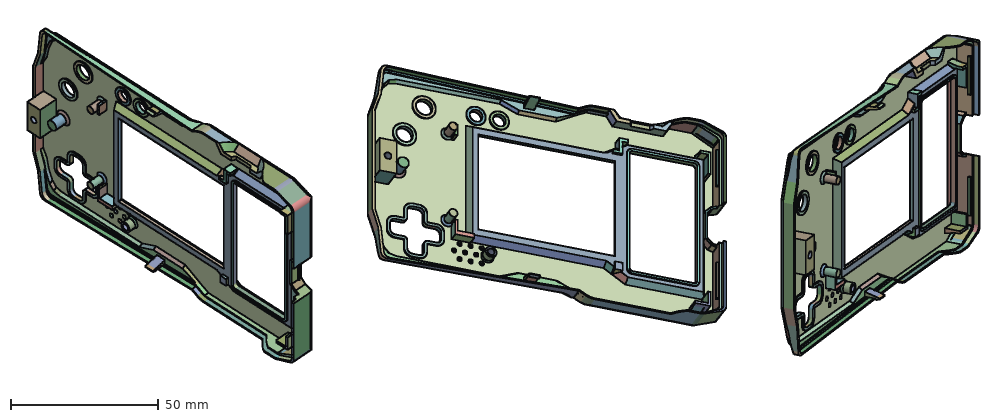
import cadquery as cq

HALF_LENGTH = 127.5 / 2
HALF_HEIGHT = 76.0 / 2
END_DEPTH = 9.1
SIDE_DEPTH = 5.05
FLOOR = 1.2
ROOT = FLOOR / 2
LIP_HEIGHT = 2.0
RAMP_START_X = 45.1
RAMP_END_X = 49.6
RAMP_MID = (47.1, 7.3)

LEFT_FLAT_HALF = 19.2
LEFT_KINK = (-61.5, 26.3)
LEFT_CORNER = (-60.3, 37.95)
LEFT_CORNER_RADIUS = 2.3
WAIST_X = 11.6
WAIST_HALF = 35.9
SHOULDER_X = 15.65
RIGHT_BEVEL_X = 55.05
RIGHT_FLAT_HALF = 34.7
SHOULDER_RADIUS = 7.0
BEVEL_RADIUS = 5.0
RIGHT_CORNER_RADIUS = 2.4

LEFT_WALL = 1.1
RIGHT_LIP = 0.9
RIGHT_WALL = 1.85
SIDE_LIP = 0.5
SIDE_WALL = 0.95
PAD_STEP = 1.35
PAD_DEPTH = 2.5

EDGE_BEVEL_DEPTH = 0.95
EDGE_BEVEL_WIDTH = 0.35
SLOPE_HALF = 34.9
SLOPE_RATE = 1.16
SLOPE_END_X = 6.6
SLOPE_CORNER_X = -59.5
SLOPE_CORNER_CUT = 2.6
SLOPE_END_RATE = 0.1
SLOPE_CORNER_RATE = 0.75

FLOOR_HALF = 33.8
FLOOR_CORNER = [(-60.9, 22.6), (-60.0, 27.0), (-58.3, 31.2), (-56.4, 33.2)]
FLOOR_CORNER_END_X = -53.7
FLOOR_DRAFT = 0.9
PAD_START_X = -15.8
PAD_FLAT_X = (-9.2, 4.6)
PAD_HALF = 31.1

FRAME_DEPTH = 3.8
FRAME_SLOPE = 1.5
FRAME_LEFT_X = -28.1
FRAME_SMALL_HALF = 22.65
FRAME_STEP_X = (22.1, 30.0)
FRAME_BIG_HALF = 27.45
FRAME_RIGHT_X = 58.8
SCREEN_WALL = 1.3
SCREEN = (-24.5, 25.4, 18.65)
WINDOW = (30.4, 54.9, 23.55)
WINDOW_RADIUS = 1.0
WINDOW_LIP = 0.9
WINDOW_LIP_HEIGHT = 0.6

NOTCH_MOUTH_HALF = 7.8
NOTCH_BEND = (60.4, 6.7)
NOTCH_FLOOR = (58.5, 4.9)
NOTCH_WALL = 0.8
NOTCH_WALL_DEPTH = 4.75

SCOOP_FLOOR_Z = 35.2
SCOOP_WALL_Z = 33.6
SCOOP_WALL = ((22.8, 45.9), (25.3, 43.7))
ARCH_BULGE = 0.33
SCOOP_OUTER = ((29.3, 39.9, 0.35), (24.4, 45.1))
SCOOP_INNER = ((29.0, 40.3, 2.5), (26.6, 42.2))
SENSOR_GAP = ((31.2, 38.0, 3.6), (30.2, 38.9))

BUTTONS = [(-43.4, 26.5), (-50.5, 14.4)]
BUTTON_HOLE = 6.0
BUTTON_RING = 8.5
SMALL_BUTTONS = [(-24.5, 27.1), (-16.0, 27.1)]
SMALL_BUTTON_HOLE = 4.6
SMALL_BUTTON_RING = 7.0
RING_HEIGHT = 0.5
PAD_CENTER = (-46.5, -22.65)
CROSS_REACH = 9.3
CROSS_HALF_WIDTH = 3.05
CROSS_TIP_RADIUS = 1.8
CROSS_INNER_RADIUS = 1.5
CROSS_RING = 1.15
SPEAKER_HOLE = 1.6
SPEAKER_PITCH = (4.05, 3.0)
SPEAKER_CENTER = (-26.3, -27.15)

PIN_DEPTH = 6.85
PINS = [(-34.8, 18.0, 3.0, 4.6), (-34.8, -16.0, 3.0, 4.6), (-53.0, 0.0, 4.0, 5.96)]
PIN_FOOT = 0.8
BOSS_CENTER = (-20.25, -27.1)
BOSS_DIAMETER = 4.0
BOSS_FOOT_DIAMETER = 4.6
BOSS_HOLE = 2.5
BOSS_DEPTH = 4.75
BLOCK_X = (-62.5, -56.4)
BLOCK_HALF = 6.35
BLOCK_HOLE_X = -59.5
BLOCK_HOLE = 2.5
BLOCK_HOLE_DEPTH = 6.0

BRACKET_DEPTH = 7.0
LOW_BRACKET_DEPTH = 4.9
BRACKETS = [
    (55.2, 58.8, 26.4, 27.4, BRACKET_DEPTH),
    (57.9, 58.8, 18.9, 27.4, BRACKET_DEPTH),
    (53.3, 58.8, -32.9, -31.9, BRACKET_DEPTH),
    (57.9, 58.8, -32.0, -27.4, BRACKET_DEPTH),
    (26.4, 27.6, 21.4, 27.4, LOW_BRACKET_DEPTH),
    (24.2, 26.5, 21.4, 22.5, LOW_BRACKET_DEPTH),
    (27.5, 29.6, 26.2, 27.4, LOW_BRACKET_DEPTH),
    (24.9, 27.6, -24.4, -21.4, LOW_BRACKET_DEPTH),
    (-33.5, -32.5, 16.0, 20.1, LOW_BRACKET_DEPTH),
    (-33.3, -32.4, -23.0, -17.2, LOW_BRACKET_DEPTH),
    (-32.5, -26.4, -23.0, -21.4, LOW_BRACKET_DEPTH),
]

WEDGES = [(55.2, 58.8, 27.4, 28.3), (53.3, 57.2, -32.9, -33.8)]
WEDGE_TOP_DEPTH = 5.0

CLIP_X = (-7.5, -3.7)
CLIP_Z = (32.9, 34.3, 35.0)
CLIP_DEPTH = 8.3
CLIP_BARB = 0.4
CLIP_BARB_START = 6.3
CLIP_BARB_PEAK = 7.1
RIB_X = 61.1
RIB_Z = (15.1, 29.1)
RIB_DEPTHS = (5.9, 6.8)

BIG = 100.0
CORNER_SPREAD = 0.5
MARGIN = 0.1


def at_depth(depth):
    """Workplane parallel to the face; extruding from it goes deeper."""
    return cq.Workplane("XZ", origin=(0, -depth, 0))


def box(x_min, x_max, z_min, z_max, start, end):
    return (
        at_depth(start)
        .center((x_min + x_max) / 2, (z_min + z_max) / 2)
        .rect(x_max - x_min, z_max - z_min)
        .extrude(end - start)
    )


def mirrored(half):
    """Closed point list from the upper half, listed from -X to +X."""
    return half + [(x, -z) for x, z in reversed(half)]


def ruled(points_a, depth_a, points_b, depth_b):
    return (
        at_depth(depth_a).polyline(points_a).close()
        .workplane(offset=depth_b - depth_a).polyline(points_b).close()
        .loft(ruled=True)
    )


def outline(left=0.0, right=0.0, side=0.0):
    """Sharp-cornered shell outline moved inwards by separate insets at the ends and sides."""
    return mirrored([
        (-HALF_LENGTH + left, LEFT_FLAT_HALF),
        (LEFT_KINK[0] + left, LEFT_KINK[1]),
        (LEFT_CORNER[0] + left, LEFT_CORNER[1] - side),
        (WAIST_X, WAIST_HALF - side),
        (SHOULDER_X, HALF_HEIGHT - side),
        (RIGHT_BEVEL_X, HALF_HEIGHT - side),
        (HALF_LENGTH - right, RIGHT_FLAT_HALF - side),
    ])


def round_edges(solid, x, spread, radius):
    """Round the edges along Y whose X lies within `spread` of `x`."""
    near = cq.selectors.BoxSelector((x - spread, -BIG, -BIG), (x + spread, BIG, BIG))
    return solid.edges("|Y").edges(near).fillet(radius)


def outline_prism(left, right, side, start):
    """Outline with rounded corners, running from depth `start` to the end depth."""
    prism = at_depth(start).polyline(outline(left, right, side)).close().extrude(END_DEPTH - start)
    prism = round_edges(prism, LEFT_CORNER[0] + left, CORNER_SPREAD, LEFT_CORNER_RADIUS)
    prism = round_edges(prism, SHOULDER_X, CORNER_SPREAD, SHOULDER_RADIUS)
    prism = round_edges(prism, RIGHT_BEVEL_X, CORNER_SPREAD, BEVEL_RADIUS)
    return round_edges(prism, HALF_LENGTH - right, CORNER_SPREAD, RIGHT_CORNER_RADIUS)


def beyond_rim(shift):
    """Everything deeper than the rim profile moved `shift` towards the face."""
    side = shift - SIDE_DEPTH
    return (
        cq.Workplane("XY", origin=(0, 0, -BIG / 2))
        .moveTo(-BIG, side)
        .lineTo(RAMP_START_X, side)
        .threePointArc((RAMP_MID[0], shift - RAMP_MID[1]), (RAMP_END_X, shift - END_DEPTH))
        .lineTo(BIG, shift - END_DEPTH)
        .lineTo(BIG, -BIG)
        .lineTo(-BIG, -BIG)
        .close()
        .extrude(BIG)
    )


def slope_outline(depth, bevel=0.0):
    """Section of the sloping outer sides, which only bite on the -X half."""
    grow = SLOPE_RATE * (depth - EDGE_BEVEL_DEPTH)
    half = SLOPE_HALF + grow - bevel
    corner_x = SLOPE_CORNER_X - SLOPE_CORNER_RATE * grow + bevel
    return mirrored([
        (-HALF_LENGTH - SLOPE_END_RATE * grow + bevel, LEFT_FLAT_HALF),
        (corner_x, half - SLOPE_CORNER_CUT),
        (corner_x + SLOPE_CORNER_CUT / 2, half),
        (SLOPE_END_X, half),
        (SHOULDER_X, HALF_HEIGHT + grow - bevel),
        (RIGHT_BEVEL_X, HALF_HEIGHT + grow - bevel),
        (HALF_LENGTH + grow - bevel, RIGHT_FLAT_HALF + grow - bevel),
    ])


def outer_body():
    prism = outline_prism(0, 0, 0, 0).cut(beyond_rim(0))
    bevel_end = slope_outline(EDGE_BEVEL_DEPTH)
    bevel = ruled(slope_outline(0 + EDGE_BEVEL_DEPTH, EDGE_BEVEL_WIDTH), 0, bevel_end, EDGE_BEVEL_DEPTH)
    slope = ruled(bevel_end, EDGE_BEVEL_DEPTH, slope_outline(END_DEPTH), END_DEPTH)
    return prism.intersect(bevel).union(prism.intersect(slope))


def floor_points(draft):
    """Outline of the cavity, widened by `draft` along its -X half."""
    half = FLOOR_HALF + draft
    return mirrored([
        (-HALF_LENGTH + LEFT_WALL, LEFT_FLAT_HALF),
        *[(x, z + draft) for x, z in FLOOR_CORNER],
        (FLOOR_CORNER_END_X, half),
        (PAD_START_X, half),
        (PAD_FLAT_X[0], PAD_HALF + draft),
        (PAD_FLAT_X[1], PAD_HALF + draft),
        (WAIST_X, WAIST_HALF - SIDE_WALL),
        (SHOULDER_X, HALF_HEIGHT - SIDE_WALL),
        (RIGHT_BEVEL_X - (RIGHT_WALL - SIDE_WALL), HALF_HEIGHT - SIDE_WALL),
        (HALF_LENGTH - RIGHT_WALL, RIGHT_FLAT_HALF - RIGHT_WALL),
    ])


def cavity():
    lower = ruled(floor_points(0), FLOOR, floor_points(FLOOR_DRAFT), PAD_DEPTH)
    upper = at_depth(PAD_DEPTH).polyline(floor_points(FLOOR_DRAFT)).close().extrude(END_DEPTH)
    pads = outline_prism(LEFT_WALL, RIGHT_WALL, PAD_STEP, PAD_DEPTH)
    lip = outline_prism(LEFT_WALL, RIGHT_LIP, SIDE_LIP, FLOOR).intersect(beyond_rim(LIP_HEIGHT))
    return lower.union(upper).union(pads).union(lip)


def frame_points(inset):
    small = FRAME_SMALL_HALF - inset
    big = FRAME_BIG_HALF - inset
    return mirrored([
        (FRAME_LEFT_X + inset, small),
        (FRAME_STEP_X[0], small),
        (FRAME_STEP_X[1], big),
        (FRAME_RIGHT_X - inset, big),
    ])


def add_frame(part):
    part = part.union(ruled(frame_points(0), FLOOR, frame_points(FRAME_SLOPE), FRAME_DEPTH))
    x_min, x_max, half = WINDOW
    lip_top = FRAME_DEPTH + WINDOW_LIP_HEIGHT
    lip = box(
        x_min - WINDOW_LIP, x_max + WINDOW_LIP, -half - WINDOW_LIP, half + WINDOW_LIP,
        FRAME_DEPTH - SCREEN_WALL, lip_top,
    ).edges("|Y").fillet(WINDOW_RADIUS + WINDOW_LIP)
    part = part.union(lip)
    lens_recess = (
        at_depth(0).polyline(frame_points(FRAME_SLOPE)).close().extrude(FRAME_DEPTH - SCREEN_WALL)
    )
    part = part.cut(lens_recess)
    window = box(x_min, x_max, -half, half, 0, lip_top).edges("|Y").fillet(WINDOW_RADIUS)
    screen = box(SCREEN[0], SCREEN[1], -SCREEN[2], SCREEN[2], 0, FRAME_DEPTH)
    return part.cut(window).cut(screen)


def notch(grow, depth):
    mouth = HALF_LENGTH + MARGIN
    points = [
        (NOTCH_FLOOR[0] - grow, NOTCH_FLOOR[1] + grow / 2),
        (NOTCH_BEND[0] - grow / 2, NOTCH_BEND[1] + grow),
        (HALF_LENGTH, NOTCH_MOUTH_HALF + grow),
        (mouth, NOTCH_MOUTH_HALF + grow),
    ]
    return at_depth(0).polyline(mirrored(points)).close().extrude(depth)


def add_notch(part):
    wall = notch(NOTCH_WALL, NOTCH_WALL_DEPTH).intersect(
        at_depth(EDGE_BEVEL_DEPTH).polyline(outline(right=RIGHT_LIP)).close().extrude(END_DEPTH)
    )
    return part.union(wall).cut(notch(0, END_DEPTH))


def arch(front, rim, z):
    """Opening in a plane of constant Z, with curved sides that widen towards the rim."""
    x_min, x_max, depth = front
    rim_depth = SIDE_DEPTH + MARGIN
    middle = -(depth + rim_depth) / 2
    left_x = rim[0] + ARCH_BULGE * (x_min - rim[0])
    right_x = rim[1] + ARCH_BULGE * (x_max - rim[1])
    return (
        cq.Workplane("XY", origin=(0, 0, z))
        .moveTo(rim[0], -rim_depth)
        .threePointArc((left_x, middle), (x_min, -depth))
        .lineTo(x_max, -depth)
        .threePointArc((right_x, middle), (rim[1], -rim_depth))
        .close()
        .val()
    )


def between(lower, upper):
    return cq.Workplane(cq.Solid.makeLoft([lower, upper], True))


def add_scoop(part):
    outer_x, inner_x = SCOOP_WALL
    top = HALF_HEIGHT - SIDE_LIP
    points = [
        (outer_x[0], top), (inner_x[0], SCOOP_WALL_Z), (inner_x[1], SCOOP_WALL_Z), (outer_x[1], top)
    ]
    wall = at_depth(ROOT).polyline(points).close().extrude(SIDE_DEPTH - ROOT)
    scoop = between(
        arch(*SCOOP_INNER, SCOOP_FLOOR_Z), arch(*SCOOP_OUTER, HALF_HEIGHT)
    )
    gap = between(
        arch(*SENSOR_GAP, SCOOP_WALL_Z - MARGIN), arch(*SENSOR_GAP, HALF_HEIGHT)
    )
    return part.union(wall).cut(scoop).cut(gap)


def add_round_openings(part):
    groups = (
        (BUTTONS, BUTTON_HOLE, BUTTON_RING),
        (SMALL_BUTTONS, SMALL_BUTTON_HOLE, SMALL_BUTTON_RING),
    )
    for centers, hole, ring in groups:
        rings = at_depth(ROOT).pushPoints(centers).circle(ring / 2)
        part = part.union(rings.extrude(FLOOR + RING_HEIGHT - ROOT))
        part = part.cut(at_depth(0).pushPoints(centers).circle(hole / 2).extrude(END_DEPTH))
    return part


def cross(grow, start, end):
    reach = 2 * (CROSS_REACH + grow)
    width = 2 * (CROSS_HALF_WIDTH + grow)
    arms = [
        at_depth(start).center(*PAD_CENTER).rect(*size).extrude(end - start)
        .edges("|Y").fillet(CROSS_TIP_RADIUS + grow)
        for size in ((reach, width), (width, reach))
    ]
    both = arms[0].union(arms[1])
    half = CROSS_HALF_WIDTH + grow
    x, z = PAD_CENTER
    corners = cq.selectors.BoxSelector(
        (x - half - MARGIN, -END_DEPTH, z - half - MARGIN), (x + half + MARGIN, 0, z + half + MARGIN)
    )
    return both.edges("|Y").edges(corners).fillet(CROSS_INNER_RADIUS - grow)


def add_cross(part):
    part = part.union(cross(CROSS_RING, ROOT, FLOOR + RING_HEIGHT))
    return part.cut(cross(0, 0, END_DEPTH))


def cone_foot(x, z, foot, pin, height):
    return (
        at_depth(FLOOR).center(x, z).circle(foot / 2)
        .workplane(offset=height).circle(pin / 2).loft()
    )


def post(x, z, pin, foot, depth):
    shaft = at_depth(ROOT).center(x, z).circle(pin / 2).extrude(depth - ROOT)
    return shaft.union(cone_foot(x, z, foot, pin, PIN_FOOT))


def add_posts(part):
    for x, z, pin, foot in PINS:
        part = part.union(post(x, z, pin, foot, PIN_DEPTH))
    part = part.union(post(*BOSS_CENTER, BOSS_DIAMETER, BOSS_FOOT_DIAMETER, BOSS_DEPTH))
    part = part.union(box(*BLOCK_X, -BLOCK_HALF, BLOCK_HALF, ROOT, END_DEPTH))
    hole_start = END_DEPTH - BLOCK_HOLE_DEPTH
    block_hole = at_depth(hole_start).center(BLOCK_HOLE_X, 0).circle(BLOCK_HOLE / 2).extrude(END_DEPTH)
    boss_hole = at_depth(0).center(*BOSS_CENTER).circle(BOSS_HOLE / 2).extrude(END_DEPTH)
    return part.cut(block_hole).cut(boss_hole)


def add_speaker_holes(part):
    pitch_x, pitch_z = SPEAKER_PITCH
    x, z = SPEAKER_CENTER
    centers = []
    for row in (-1, 0, 1):
        shift = -pitch_x / 2 if row == 0 else 0
        centers += [(x + shift + column * pitch_x, z + row * pitch_z) for column in (-1, 0, 1)]
    return part.cut(at_depth(0).pushPoints(centers).circle(SPEAKER_HOLE / 2).extrude(END_DEPTH))


def add_brackets(part):
    for x_min, x_max, z_min, z_max, depth in BRACKETS:
        part = part.union(box(x_min, x_max, z_min, z_max, ROOT, depth))
    for x_min, x_max, z_bracket, z_floor in WEDGES:
        wedge = (
            cq.Workplane("YZ", origin=(x_min, 0, 0))
            .polyline([(-WEDGE_TOP_DEPTH, z_bracket), (-FLOOR, z_bracket), (-FLOOR, z_floor)])
            .close().extrude(x_max - x_min)
        )
        part = part.union(wedge)
    return part


def add_snaps(part):
    z_base, z_in, z_out = CLIP_Z
    profile = [
        (-FLOOR, z_base),
        (-CLIP_BARB_PEAK, z_in),
        (-CLIP_DEPTH, z_in + CLIP_BARB),
        (-CLIP_DEPTH, z_out),
        (-CLIP_BARB_PEAK, z_out + CLIP_BARB),
        (-CLIP_BARB_START, z_out),
        (-FLOOR, z_out),
    ]
    clip = (
        cq.Workplane("YZ", origin=(CLIP_X[0], 0, 0))
        .polyline(profile).close().extrude(CLIP_X[1] - CLIP_X[0])
    )
    rib = box(RIB_X, HALF_LENGTH - RIGHT_LIP, *RIB_Z, *RIB_DEPTHS)
    for feature in (clip, rib):
        part = part.union(feature).union(feature.mirror("XY"))
    return part


part = outer_body().cut(cavity())
part = add_notch(part)
part = add_scoop(part)
part = add_frame(part)
part = add_round_openings(part)
part = add_cross(part)
part = add_brackets(part)
part = add_posts(part)
part = add_snaps(part)
result = add_speaker_holes(part)